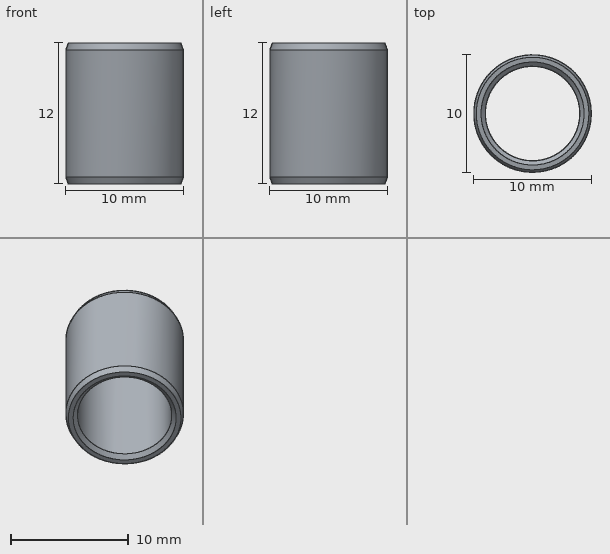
import cadquery as cq

length = 12.0
outer_diameter = 10.0
bore_diameter = 8.0

outer_chamfer_height = 0.6
outer_chamfer_width = 0.22

bore_chamfer = 0.37

outer_radius = outer_diameter / 2
bore_radius = bore_diameter / 2
end_outer_radius = outer_radius - outer_chamfer_width
end_bore_radius = bore_radius + bore_chamfer

wall_section = [
    (end_bore_radius, 0),
    (end_outer_radius, 0),
    (outer_radius, outer_chamfer_height),
    (outer_radius, length - outer_chamfer_height),
    (end_outer_radius, length),
    (end_bore_radius, length),
    (bore_radius, length - bore_chamfer),
    (bore_radius, bore_chamfer),
]

result = cq.Workplane("XZ").polyline(wall_section).close().revolve(360, (0, 0), (0, 1))